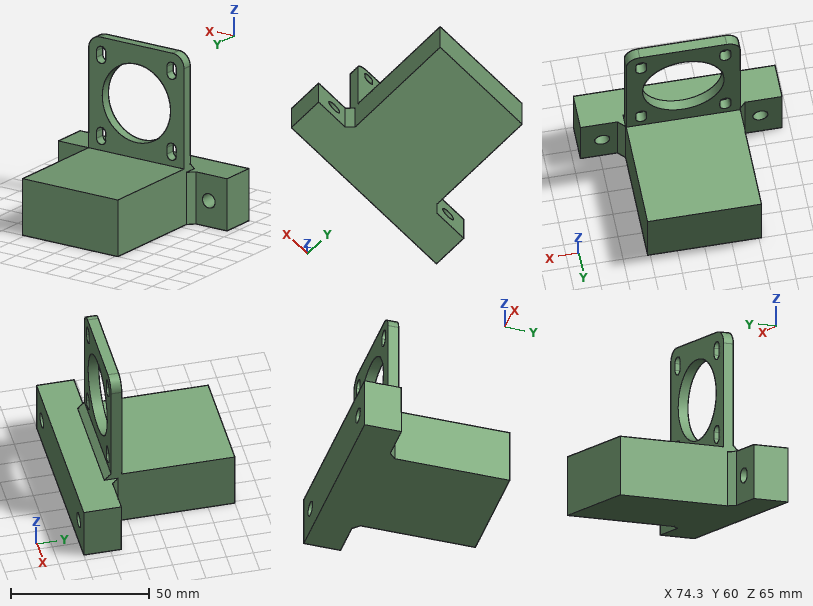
import cadquery as cq

bar_length = 74.3
bar_depth = 14.0
bar_height = 20.0
bar_hole_diameter = 5.5
bar_hole_spacing = 58.25

body_width = 42.0
body_back = 60.0
body_height = 21.7

plate_thickness = 4.0
plate_top = 65.0
plate_corner_radius = 5.0
bore_diameter = 30.0
bore_height = 42.7
slot_spacing = 31.0
slot_length = 6.55
slot_width = 4.0

filler_leg = 2.5


def centred_box(width, depth, height, front=0.0):
    """Box centred on X, standing on Z = 0, starting at Y = front."""
    return cq.Workplane("XY").box(width, depth, height, centered=(True, False, False)).translate((0, front, 0))


def front_profile(y, z):
    """XZ sketch plane at the given Y, with its origin at height z."""
    return cq.Workplane("XZ", origin=(0, y, z))


def make_bar():
    bar = centred_box(bar_length, bar_depth, bar_height)
    holes = (
        front_profile(0, bar_height / 2)
        .rarray(bar_hole_spacing, 0.75, 2, 1)
        .circle(bar_hole_diameter / 2)
        .extrude(-bar_depth)
    )
    return bar.cut(holes)


def make_plate():
    plate = centred_box(body_width, plate_thickness, plate_top, bar_depth)
    plate = plate.edges("|Y and >Z").fillet(plate_corner_radius)
    bore = front_profile(bar_depth, bore_height).circle(bore_diameter / 2).extrude(-plate_thickness)
    slots = (
        front_profile(bar_depth, bore_height)
        .rarray(slot_spacing, slot_spacing, 2, 2)
        .slot2D(slot_length, slot_width, 90)
        .extrude(-plate_thickness)
    )
    return plate.cut(bore).cut(slots)


def make_top_filler():
    """Wedge between the top of the bar and the front of the plate."""
    return (
        cq.Workplane("YZ", origin=(0, bar_depth, bar_height))
        .polyline([(0, 0), (-filler_leg, 0), (0, filler_leg)])
        .close()
        .extrude(body_width / 2, both=True)
    )


def make_side_filler(side):
    """Wedge between the back of the bar and one side of the body; side is -1 or 1."""
    return (
        cq.Workplane("XY", origin=(side * body_width / 2, bar_depth, 0))
        .polyline([(0, 0), (side * filler_leg, 0), (0, filler_leg)])
        .close()
        .extrude(bar_height)
    )


body = centred_box(body_width, body_back - bar_depth, body_height, bar_depth)
result = make_bar().union(body).union(make_plate()).union(make_top_filler())
for side in (-1, 1):
    result = result.union(make_side_filler(side))